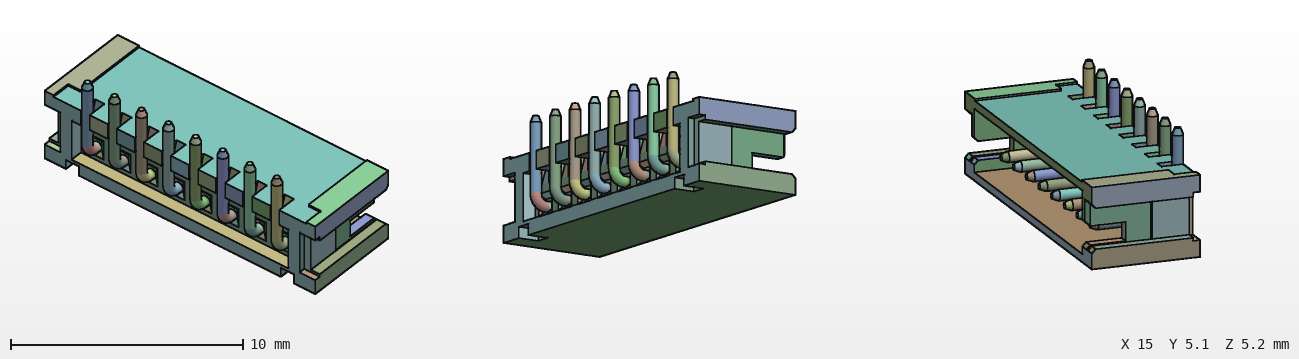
import cadquery as cq
import math

LENGTH = 15.0
DEPTH = 5.01
HEIGHT = 3.7
HALF = LENGTH / 2

STRIP_HEIGHT = 0.09
STRIP_WIDTH = 1.18
STRIP_FRONT_WIDTH = 0.5
STRIP_FRONT_LENGTH = 1.0
DECK_Z = HEIGHT - STRIP_HEIGHT

CHANNEL_DEPTH = 0.5
CHANNEL_BOTTOM = 0.9
CHANNEL_TOP = 2.75
MOUTH_DEPTH = 0.87
MOUTH_LENGTH = 0.32
MOUTH_BOTTOM = 0.76
MOUTH_TOP = 2.94
GROOVE_START = 2.02
GROOVE_OFFSET = 0.15
GROOVE_DEPTH = CHANNEL_DEPTH + GROOVE_OFFSET

CAVITY_START = GROOVE_START
CAVITY_INSET = 1.12
SHELL = 0.38
SLOT_START = 3.2
SLOT_TOP = 1.75
LEAD_IN = 0.18

RECESS_INSET = 1.5
RECESS_DEPTH = 0.65
RECESS_BOTTOM = 0.68
RECESS_TOP = 2.8
CLEARANCE_WIDTH = 0.51
CLEARANCE_END = STRIP_FRONT_LENGTH
CLEARANCE_LIP = 0.08
CLEARANCE_SLOPE_END = 2.3
NOTCH_INSET = STRIP_WIDTH
NOTCH_WIDTH = 0.72
NOTCH_HEIGHT = 0.5

PIN_COUNT = 8
PITCH = 1.5
PIN_DIAMETER = 0.5
PIN_TIP_DIAMETER = 0.25
PIN_TAPER = 0.3
PIN_TOP = 5.2
PIN_OVERHANG = 0.09
PIN_Y = PIN_DIAMETER / 2 - PIN_OVERHANG
PIN_Z = 1.28
PIN_END = 4.22
BEND_RADIUS = 0.52
FUNNEL_WIDTH = 1.0
FUNNEL_DEPTH = 0.2
FUNNEL_INSET = 0.25
FUNNEL_Z = 1.41

PIN_POSITIONS = [(i - (PIN_COUNT - 1) / 2) * PITCH for i in range(PIN_COUNT)]


def box(x0, x1, y0, y1, z0, z1):
    """Block between the given limits."""
    return cq.Workplane("XY").box(x1 - x0, y1 - y0, z1 - z0, centered=False).translate((x0, y0, z0))


def cut_both_ends(body, tool):
    """Cut a tool made for the -X end, and its mirror image at the +X end."""
    return body.cut(tool).cut(tool.mirror("YZ"))


def frustum(x0, x1, z0, z1, y0, length, growth):
    """Rectangle at y0 whose sides all move outward by growth over the given length along +Y."""
    return (
        cq.Workplane("XZ", origin=((x0 + x1) / 2, y0, (z0 + z1) / 2))
        .rect(x1 - x0, z1 - z0)
        .workplane(offset=-length)
        .rect(x1 - x0 + 2 * growth, z1 - z0 + 2 * growth)
        .loft(ruled=True)
    )


def make_deck(body):
    """Lower the top face, leaving an L-shaped raised strip at each end."""
    inner = HALF - STRIP_WIDTH
    outer = HALF - STRIP_FRONT_WIDTH
    body = body.cut(box(-inner, inner, 0, DEPTH, DECK_Z, HEIGHT))
    return body.cut(box(-outer, outer, 0, STRIP_FRONT_LENGTH, DECK_Z, HEIGHT))


def make_side_channels(body):
    """Cut the channel, its wider front mouth and the deeper rear groove at each end."""
    channel = box(-HALF, -HALF + CHANNEL_DEPTH, 0, DEPTH, CHANNEL_BOTTOM, CHANNEL_TOP)
    mouth = box(-HALF, -HALF + MOUTH_DEPTH, 0, MOUTH_LENGTH, MOUTH_BOTTOM, MOUTH_TOP)
    groove = box(
        -HALF + CHANNEL_DEPTH, -HALF + GROOVE_DEPTH, GROOVE_START, DEPTH,
        CHANNEL_BOTTOM - GROOVE_OFFSET, CHANNEL_TOP + GROOVE_OFFSET,
    )
    return cut_both_ends(body, channel.union(mouth).union(groove))


def make_cavity(body):
    """Hollow the rear, slot the side walls and chamfer the rear edges of channels and slots."""
    wall = HALF - CAVITY_INSET
    body = body.cut(box(-wall, wall, CAVITY_START, DEPTH, SHELL, DECK_Z - SHELL))
    body = cut_both_ends(body, box(-HALF, -wall, SLOT_START, DEPTH, CHANNEL_BOTTOM, SLOT_TOP))
    lead_start = DEPTH - LEAD_IN
    channel_lead = frustum(
        -HALF, -HALF + GROOVE_DEPTH, CHANNEL_BOTTOM, CHANNEL_TOP, lead_start, LEAD_IN, LEAD_IN
    )
    slot_lead = frustum(-HALF, -wall, CHANNEL_BOTTOM, SLOT_TOP, lead_start, LEAD_IN, LEAD_IN)
    return cut_both_ends(body, channel_lead.union(slot_lead))


def make_front_recess(body):
    """Cut the front recess, with one open slot in the deck and one funnel per pin."""
    edge = HALF - RECESS_INSET
    body = body.cut(box(-edge, edge, 0, RECESS_DEPTH, RECESS_BOTTOM, RECESS_TOP))
    lip_z = DECK_Z - CLEARANCE_LIP
    slot_outline = [
        (0, DECK_Z),
        (CLEARANCE_END, DECK_Z),
        (CLEARANCE_END, lip_z),
        (RECESS_DEPTH, CLEARANCE_SLOPE_END),
        (0, CLEARANCE_SLOPE_END),
    ]
    slot = cq.Workplane("YZ").polyline(slot_outline).close().extrude(CLEARANCE_WIDTH / 2, both=True)
    half_funnel = FUNNEL_WIDTH / 2
    funnel = frustum(
        -half_funnel, half_funnel, FUNNEL_Z - half_funnel, FUNNEL_Z + half_funnel,
        RECESS_DEPTH, FUNNEL_DEPTH, -FUNNEL_INSET,
    )
    for x in PIN_POSITIONS:
        body = body.cut(slot.translate((x, 0, 0))).cut(funnel.translate((x, 0, 0)))
    return body


def make_notches(body):
    """Notch the front lower edge near each end, with a thin slit on into the cavity."""
    x0 = -HALF + NOTCH_INSET
    x1 = x0 + NOTCH_WIDTH
    notch = box(x0, x1, 0, STRIP_FRONT_LENGTH, 0, NOTCH_HEIGHT)
    slit = box(x0, x1, 0, CAVITY_START, SHELL, NOTCH_HEIGHT)
    return cut_both_ends(body, notch.union(slit))


def make_pin():
    """Right-angle round pin at X = 0 with tapered tips on its upright and rear legs."""
    radius = PIN_DIAMETER / 2
    tip = PIN_TIP_DIAMETER / 2
    bend_y = PIN_Y + BEND_RADIUS
    bend_z = PIN_Z + BEND_RADIUS

    def leg(length):
        outline = [(0, 0), (radius, 0), (radius, length - PIN_TAPER), (tip, length), (0, length)]
        return cq.Workplane("XZ").polyline(outline).close().revolve(360, (0, 0), (0, 1))

    upright = leg(PIN_TOP - bend_z).translate((0, PIN_Y, bend_z))
    rear = leg(PIN_END - bend_y).rotate((0, 0, 0), (1, 0, 0), -90).translate((0, bend_y, PIN_Z))
    middle = BEND_RADIUS * math.sqrt(0.5)
    path = (
        cq.Workplane("YZ")
        .moveTo(PIN_Y, bend_z)
        .threePointArc((bend_y - middle, bend_z - middle), (bend_y, PIN_Z))
    )
    bend = cq.Workplane("XY", origin=(0, PIN_Y, bend_z)).circle(radius).sweep(path)
    return upright.union(bend).union(rear)


housing = box(-HALF, HALF, 0, DEPTH, 0, HEIGHT)
housing = make_deck(housing)
housing = make_side_channels(housing)
housing = make_cavity(housing)
housing = make_front_recess(housing)
housing = make_notches(housing)

pin = make_pin()
for pin_x in PIN_POSITIONS:
    housing = housing.union(pin.translate((pin_x, 0, 0)))

result = housing